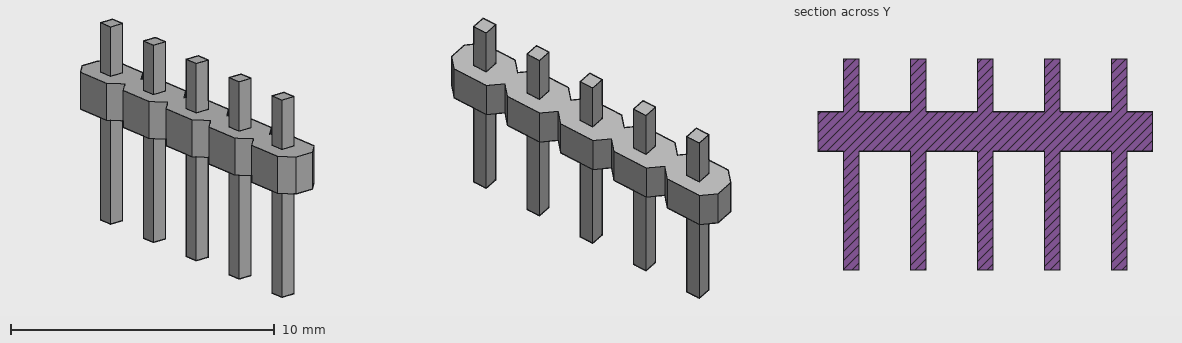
import cadquery as cq

pin_count = 5
pitch = 2.54

housing_depth = 1.8
housing_height = 1.5
corner_chamfer = 0.5

pin_width = 0.6
pin_above = 2.0
pin_below = 4.5
pin_length = pin_below + housing_height + pin_above

pin_positions = [(i - (pin_count - 1) / 2) * pitch for i in range(pin_count)]


def housing_cell(x):
    """One octagonal housing block, one pitch long, so neighbours share an end face."""
    return (
        cq.Workplane("XY")
        .center(x, 0)
        .rect(pitch, housing_depth)
        .extrude(housing_height)
        .edges("|Z")
        .chamfer(corner_chamfer)
    )


def pin(x):
    """One square pin running through the housing."""
    return (
        cq.Workplane("XY", origin=(x, 0, -pin_below))
        .rect(pin_width, pin_width)
        .extrude(pin_length)
    )


header = cq.Workplane("XY")
for pin_x in pin_positions:
    header = header.add(housing_cell(pin_x)).add(pin(pin_x))

result = header.combine(clean=True)